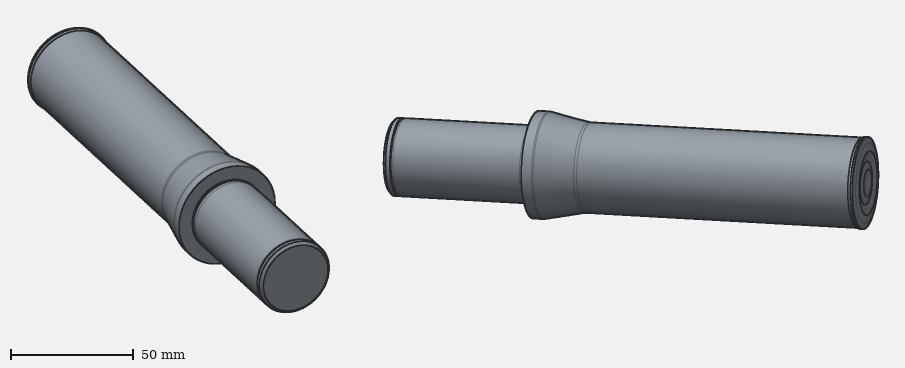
import cadquery as cq

TOTAL_LENGTH = 201.0
FACE_EDGE_X = 0.6
RIM_X = 1.0
BEAD_START_X = 1.2
JOINT_X = 2.0
BEAD_END_X = 3.2
CONE_START_X = 118.2
CONE_BLEND_LENGTH = 1.2
COLLAR_START_X = 136.3
COLLAR_END_X = 140.5

BARREL_RADIUS = 37.0 / 2
BEAD_RADIUS = BARREL_RADIUS + 0.5
COLLAR_RADIUS = 44.0 / 2
STEM_RADIUS = 32.0 / 2
GROOVE_RADIUS = 31.5 / 2

GROOVE_ENTRY = 0.8
COLLAR_GROOVE_WIDTH = 2.6
END_GROOVE_WIDTH = 1.2
END_GROOVE_X = 196.8
STEM_CHAMFER = 1.2

CONE_BLEND_RISE = 0.1
COLLAR_EDGE_BLEND = 0.6
COLLAR_EDGE_DROP = 0.1

FACE_RADIUS = 16.5
OUTER_CREST_RADIUS = 13.0
VALLEY_RADIUS = 8.8
CREST_RADIUS = 5.6
VALLEY_DEPTH = 0.8
CREST_DEPTH = 0.2
CENTER_DEPTH = 1.0


def revolve_about_x(profile):
    """Turn a closed half profile (X = station, Y = radius) about the X axis."""
    return profile.close().revolve(360, (0, 0, 0), (1, 0, 0))


def make_groove(start_x, width):
    """Ring that cuts a shallow V groove into the stem."""
    profile = (
        cq.Workplane("XY")
        .moveTo(start_x, STEM_RADIUS)
        .lineTo(start_x + GROOVE_ENTRY, GROOVE_RADIUS)
        .lineTo(start_x + width, STEM_RADIUS)
    )
    return revolve_about_x(profile)


def make_housing():
    """Barrel, flared collar and stem as one turned piece."""
    profile = (
        cq.Workplane("XY")
        .moveTo(JOINT_X, 0)
        .lineTo(JOINT_X, BEAD_RADIUS)
        .lineTo(BEAD_END_X, BARREL_RADIUS)
        .lineTo(CONE_START_X, BARREL_RADIUS)
        .lineTo(CONE_START_X + CONE_BLEND_LENGTH, BARREL_RADIUS + CONE_BLEND_RISE)
        .lineTo(COLLAR_START_X - COLLAR_EDGE_BLEND, COLLAR_RADIUS - COLLAR_EDGE_DROP)
        .lineTo(COLLAR_START_X, COLLAR_RADIUS)
        .lineTo(COLLAR_END_X, COLLAR_RADIUS)
        .lineTo(COLLAR_END_X, STEM_RADIUS)
        .lineTo(TOTAL_LENGTH - STEM_CHAMFER, STEM_RADIUS)
        .lineTo(TOTAL_LENGTH, STEM_RADIUS - STEM_CHAMFER)
        .lineTo(TOTAL_LENGTH, 0)
    )
    housing = revolve_about_x(profile)
    housing = housing.cut(make_groove(COLLAR_END_X, COLLAR_GROOVE_WIDTH))
    return housing.cut(make_groove(END_GROOVE_X, END_GROOVE_WIDTH))


def make_diaphragm():
    """Thin corrugated disc closing the barrel end."""
    profile = (
        cq.Workplane("XY")
        .moveTo(JOINT_X, 0)
        .lineTo(JOINT_X, BEAD_RADIUS)
        .lineTo(BEAD_START_X, BEAD_RADIUS)
        .lineTo(RIM_X, BARREL_RADIUS)
        .lineTo(FACE_EDGE_X, FACE_RADIUS)
        .lineTo(0, OUTER_CREST_RADIUS)
        .lineTo(VALLEY_DEPTH, VALLEY_RADIUS)
        .lineTo(CREST_DEPTH, CREST_RADIUS)
        .lineTo(CENTER_DEPTH, 0)
    )
    return revolve_about_x(profile)


housing = make_housing()
diaphragm = make_diaphragm()
result = cq.Compound.makeCompound([housing.val(), diaphragm.val()])